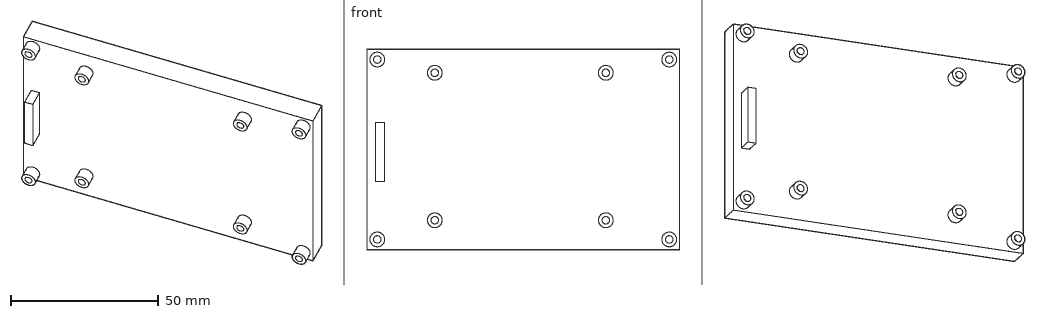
import cadquery as cq

panel_width = 106.0
panel_thickness = 8.0
panel_height = 68.0

standoff_diameter = 5.0
standoff_length = 4.0
bore_diameter = 2.53
bore_depth = standoff_length

corner_spacing_x = 99.0
corner_spacing_z = 61.0

inner_spacing_x = 58.0
inner_spacing_z = 50.0
inner_center_x = -1.0
inner_center_z = 1.0

header_width = 3.0
header_length = 6.0
header_height = 20.0
header_edge_gap = 2.9
header_center_z = -0.9


def front_plane(offset=0.0):
    """Sketch plane parallel to the front face, X right and Z up, normal toward -Y."""
    return cq.Workplane("XZ").workplane(offset=offset)


def rectangle_points(spacing_x, spacing_z, center_x=0.0, center_z=0.0):
    """Four corners of a rectangle around the given centre."""
    return [
        (center_x + side_x * spacing_x / 2, center_z + side_z * spacing_z / 2)
        for side_x in (-1, 1)
        for side_z in (-1, 1)
    ]


def make_panel():
    return front_plane(-panel_thickness).rect(panel_width, panel_height).extrude(panel_thickness)


def make_standoffs(points):
    """Solid round posts standing on the front face."""
    return front_plane().pushPoints(points).circle(standoff_diameter / 2).extrude(standoff_length)


def make_bores(points):
    """Cylinders that hollow the posts from their free ends."""
    return (
        front_plane(standoff_length)
        .pushPoints(points)
        .circle(bore_diameter / 2)
        .extrude(-bore_depth)
    )


def make_header():
    center_x = -panel_width / 2 + header_edge_gap + header_width / 2
    return (
        front_plane()
        .center(center_x, header_center_z)
        .rect(header_width, header_height)
        .extrude(header_length)
    )


standoff_points = rectangle_points(corner_spacing_x, corner_spacing_z)
standoff_points += rectangle_points(inner_spacing_x, inner_spacing_z, inner_center_x, inner_center_z)

result = (
    make_panel()
    .union(make_standoffs(standoff_points))
    .union(make_header())
    .cut(make_bores(standoff_points))
)